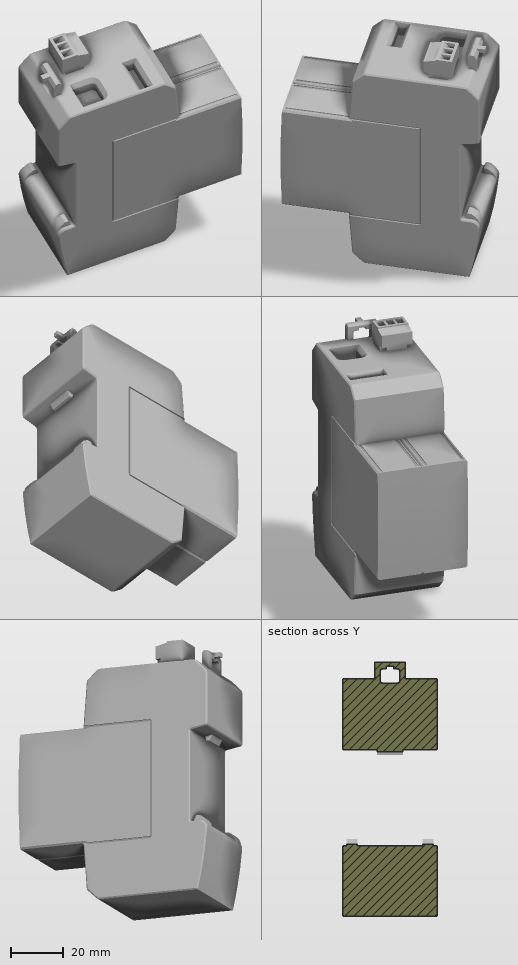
import cadquery as cq
import math


WIDTH = 36.0
HOUSING_HEIGHT = 90.0
MID_Z = HOUSING_HEIGHT / 2
REAR_Y = 50.6
EDGE_CHAMFER = 0.5

REAR_TOP_Y = 44.7
REAR_BEVEL_Y = 49.3
REAR_BEVEL_DROP = 4.3

FRONT_BEVEL = 4.8
BEVEL_FILLET = 2.0
RAIL_WALL_Y = 7.0
RAIL_TOP_Z = 62.7
UPPER_LIP_Z = 63.9
LIP_FILLET = 0.9
RAIL_FILLET = 0.6
RAIL_BOTTOM_Z = 26.9
LOWER_LIP_FILLET = 3.2
SKIRT_TOP_Y = -0.2
SKIRT_MID = (1.5, 12.1)
SKIRT_FOOT_Y = 3.9

MODULE_COUNT = 2
MODULE_WIDTH = WIDTH / MODULE_COUNT
MODULE_HEIGHT = 44.9
MODULE_FRONT_Y = 23.2
MODULE_REAR_Y = 77.0
MODULE_CROWN = 0.6
MODULE_CHAMFER = 0.7
MODULE_CHAMFER_START_Y = 49.3
STRIP_WIDTH = 1.2
STRIP_INSET = 1.1
STRIP_DEPTH = 0.4
STRIP_END_MARGIN = 1.0

GROOVE_WIDTH = 0.8
GROOVE_DEPTH = 0.6
GROOVE_CORNER = 1.0

CATCH_WIDTH = 10.0
CATCH_ROOT = (2.8, 6.1)
CATCH_TIP = (4.4, 5.5)
CATCH_TIP_Z = 61.1
PAD_WIDTH = 4.2
PAD_CENTER_X = 14.4
PAD_REAR_Y = 6.0
PAD_TOP_Z = 29.3
PAD_TOP = (3.5, 4.9)
PAD_NOSE_START = (2.3, 28.5)
PAD_NOSE_MID = (0.7, 26.8)
PAD_NOSE_END = (0.1, 24.2)
PAD_ROOT_Y = 3.0

CONNECTOR_LEFT_X = -14.6
CONNECTOR_WIDTH = 12.3
CONNECTOR_FRONT_Y = 11.3
CONNECTOR_REAR_Y = 22.4
CONNECTOR_TOP_Z = 98.9
CONNECTOR_BASE_Z = 91.0
CONNECTOR_REAR_Z = 97.4
CONNECTOR_SLOPE_TOP_Z = 98.4
CONNECTOR_SLOPE_START_Y = 17.7
CONNECTOR_SLOPE_END_Y = 21.7
CONNECTOR_STEM_FRONT_Y = 12.9
CONNECTOR_STEM_REAR_Y = 20.4
HEEL_INSET = 2.2
HEEL_HEIGHT = 1.4
WIRE_COUNT = 3
WIRE_PITCH = 3.8
WIRE_WIDTH = 2.8
WIRE_FRONT_Y = 12.5
WIRE_LENGTH = 4.2
WIRE_DEPTH = 4.2

LATCH_WIDTH = 11.8
LATCH_FRONT_Y = 3.8
LATCH_REAR_Y = 7.0
LATCH_TOP_Z = 96.3
LATCH_REAR_CHAMFER = 0.8
LATCH_FRONT_CHAMFER_LENGTH = 0.9
LATCH_FRONT_CHAMFER_HEIGHT = 1.7
WINDOW_WIDTH = 7.3
WINDOW_BOTTOM_Z = 88.4
WINDOW_TOP_Z = 93.6
WINDOW_FILLET = 0.8
NOTCH_WIDTH = 2.8
NOTCH_TOP_Z = 94.5
PRONG_WIDTH = 2.2
PRONG_TIP_Y = 1.5

POCKET_BEVEL_DEPTH = 1.7
POCKET_DEPTH = 5.5

SLOT_CENTER_X = 8.9
SLOT_WIDTH = 15.2
SLOT_FRONT_Y = 34.2
SLOT_REAR_Y = 40.4
SLOT_WELL_WIDTH = 13.9
SLOT_WELL_FRONT_Y = 35.5
SLOT_WELL_REAR_Y = 39.0

ARCH_CENTER_X = 9.1
ARCH_WIDTH = 12.5
ARCH_FRONT_Y = 11.7
ARCH_REAR_Y = 23.0
ARCH_CORNER = 3.4
ARCH_BEVEL_INSET = 1.5


def box(x_min, x_max, y_min, y_max, z_min, z_max):
    """Box between the given limits."""
    size = (x_max - x_min, y_max - y_min, z_max - z_min)
    return cq.Workplane("XY").box(*size, centered=False).translate((x_min, y_min, z_min))


def extrude_across(profile, x_center, width):
    """Extrude a closed Y-Z profile by width along X, centred on x_center."""
    return profile.extrude(width).translate((x_center - width / 2, 0, 0))


def centered_box(width, y_min, y_max, z_min, z_max):
    """Box centred on the mid-plane X = 0."""
    return box(-width / 2, width / 2, y_min, y_max, z_min, z_max)


MODULE_BOTTOM_Z = MID_Z - MODULE_HEIGHT / 2
MODULE_TOP_Z = MID_Z + MODULE_HEIGHT / 2


def make_shell():
    """DIN-rail housing outline, extruded over the full width with bevelled flanks."""
    top = HOUSING_HEIGHT
    profile = (
        cq.Workplane("YZ")
        .moveTo(SKIRT_FOOT_Y, 0)
        .lineTo(REAR_TOP_Y, 0)
        .lineTo(REAR_BEVEL_Y, REAR_BEVEL_DROP)
        .lineTo(REAR_Y, MODULE_BOTTOM_Z)
        .lineTo(REAR_Y, MODULE_TOP_Z)
        .lineTo(REAR_BEVEL_Y, top - REAR_BEVEL_DROP)
        .lineTo(REAR_TOP_Y, top)
        .lineTo(FRONT_BEVEL, top)
        .lineTo(0, top - FRONT_BEVEL)
        .lineTo(0, UPPER_LIP_Z)
        .lineTo(RAIL_WALL_Y, RAIL_TOP_Z)
        .lineTo(RAIL_WALL_Y, RAIL_BOTTOM_Z)
        .lineTo(SKIRT_TOP_Y, RAIL_BOTTOM_Z)
        .threePointArc(SKIRT_MID, (SKIRT_FOOT_Y, 0))
        .close()
    )
    shell = extrude_across(profile, 0, WIDTH)

    def corner(y, z):
        return cq.selectors.NearestToPointSelector((0, y, z))

    for y, z in [(REAR_TOP_Y, 0), (REAR_TOP_Y, top), (FRONT_BEVEL, top), (0, top - FRONT_BEVEL)]:
        shell = shell.edges("|X").edges(corner(y, z)).fillet(BEVEL_FILLET)
    shell = shell.edges("|X").edges(corner(0, UPPER_LIP_Z)).fillet(LIP_FILLET)
    shell = shell.edges("|X").edges(corner(SKIRT_TOP_Y, RAIL_BOTTOM_Z)).fillet(LOWER_LIP_FILLET)
    for z in (RAIL_BOTTOM_Z, RAIL_TOP_Z):
        shell = shell.edges("|X").edges(corner(RAIL_WALL_Y, z)).fillet(RAIL_FILLET)
    return shell.faces("<X or >X").edges().chamfer(EDGE_CHAMFER)


def make_module_bay():
    """Space the modules fill inside the housing, open at the rear and on both flanks."""
    return centered_box(WIDTH, MODULE_FRONT_Y, MODULE_REAR_Y, MODULE_BOTTOM_Z, MODULE_TOP_Z)


def make_flank_grooves():
    """Shallow rebates that frame the module bay on both flanks."""
    frame = centered_box(
        WIDTH,
        MODULE_FRONT_Y - GROOVE_WIDTH,
        MODULE_REAR_Y,
        MODULE_BOTTOM_Z - GROOVE_WIDTH,
        MODULE_TOP_Z + GROOVE_WIDTH,
    )
    frame = frame.edges("|X and <Y").fillet(GROOVE_CORNER)
    core_width = WIDTH - 2 * GROOVE_DEPTH
    core = centered_box(core_width, 0, MODULE_REAR_Y, 0, HOUSING_HEIGHT)
    return frame.cut(core)


def make_rail_catch():
    """Small wedge under the upper lip that hooks behind the rail."""
    profile = cq.Workplane("YZ").polyline([
        (CATCH_ROOT[1], UPPER_LIP_Z),
        (CATCH_TIP[1], CATCH_TIP_Z),
        (CATCH_TIP[0], CATCH_TIP_Z),
        (CATCH_ROOT[0], UPPER_LIP_Z),
    ]).close()
    return extrude_across(profile, 0, CATCH_WIDTH)


def make_rail_pad(x_center):
    """Rounded pad standing on the lower lip."""
    profile = (
        cq.Workplane("YZ")
        .moveTo(PAD_ROOT_Y, PAD_NOSE_END[1])
        .lineTo(PAD_REAR_Y, RAIL_BOTTOM_Z)
        .lineTo(PAD_TOP[1], PAD_TOP_Z)
        .lineTo(PAD_TOP[0], PAD_TOP_Z)
        .lineTo(*PAD_NOSE_START)
        .threePointArc(PAD_NOSE_MID, PAD_NOSE_END)
        .close()
    )
    return extrude_across(profile, x_center, PAD_WIDTH)


def make_connector():
    """Terminal block on a narrower stem, with ramped wire openings in its top."""
    center_x = CONNECTOR_LEFT_X + CONNECTOR_WIDTH / 2
    profile = cq.Workplane("YZ").polyline([
        (CONNECTOR_STEM_FRONT_Y, HOUSING_HEIGHT),
        (CONNECTOR_STEM_FRONT_Y, CONNECTOR_BASE_Z),
        (CONNECTOR_FRONT_Y, CONNECTOR_BASE_Z),
        (CONNECTOR_FRONT_Y, CONNECTOR_TOP_Z),
        (CONNECTOR_SLOPE_START_Y, CONNECTOR_TOP_Z),
        (CONNECTOR_SLOPE_START_Y, CONNECTOR_SLOPE_TOP_Z),
        (CONNECTOR_SLOPE_END_Y, CONNECTOR_REAR_Z),
        (CONNECTOR_REAR_Y, CONNECTOR_REAR_Z),
        (CONNECTOR_REAR_Y, CONNECTOR_BASE_Z),
        (CONNECTOR_STEM_REAR_Y, CONNECTOR_BASE_Z),
        (CONNECTOR_STEM_REAR_Y, HOUSING_HEIGHT),
    ]).close()
    connector = extrude_across(profile, center_x, CONNECTOR_WIDTH)
    heel_shift = (CONNECTOR_WIDTH - HEEL_INSET) / 2
    for side in (-1, 1):
        heel_cut = centered_box(
            HEEL_INSET,
            CONNECTOR_STEM_REAR_Y,
            CONNECTOR_REAR_Y,
            CONNECTOR_BASE_Z,
            CONNECTOR_BASE_Z + HEEL_HEIGHT,
        )
        connector = connector.cut(heel_cut.translate((center_x + side * heel_shift, 0, 0)))
    for index in range(WIRE_COUNT):
        wire_x = center_x + (index - (WIRE_COUNT - 1) / 2) * WIRE_PITCH
        wedge = cq.Workplane("YZ").polyline([
            (WIRE_FRONT_Y, CONNECTOR_TOP_Z),
            (WIRE_FRONT_Y + WIRE_LENGTH, CONNECTOR_TOP_Z),
            (WIRE_FRONT_Y, CONNECTOR_TOP_Z - WIRE_DEPTH),
        ]).close()
        connector = connector.cut(extrude_across(wedge, wire_x, WIRE_WIDTH))
    return connector


def make_latch():
    """Latch loop with a stepped window and a forward prong."""
    loop_profile = cq.Workplane("YZ").polyline([
        (LATCH_FRONT_Y, WINDOW_BOTTOM_Z),
        (LATCH_FRONT_Y, LATCH_TOP_Z - LATCH_FRONT_CHAMFER_HEIGHT),
        (LATCH_FRONT_Y + LATCH_FRONT_CHAMFER_LENGTH, LATCH_TOP_Z),
        (LATCH_REAR_Y, LATCH_TOP_Z),
        (LATCH_REAR_Y, WINDOW_BOTTOM_Z),
    ]).close()
    loop = extrude_across(loop_profile, 0, LATCH_WIDTH)
    loop = loop.edges(">Z and >Y").chamfer(LATCH_REAR_CHAMFER)
    notch = centered_box(NOTCH_WIDTH, 0, LATCH_REAR_Y, HOUSING_HEIGHT, NOTCH_TOP_Z)
    prong_root_y = LATCH_REAR_Y - LATCH_REAR_CHAMFER
    prong = centered_box(PRONG_WIDTH, PRONG_TIP_Y, prong_root_y, NOTCH_TOP_Z, LATCH_TOP_Z)
    return loop.cut(notch).union(prong)


def make_latch_window():
    """Opening through the latch loop that also relieves the housing edge below it."""
    window = centered_box(WINDOW_WIDTH, 0, LATCH_REAR_Y, WINDOW_BOTTOM_Z, WINDOW_TOP_Z)
    return window.edges("|Y").fillet(WINDOW_FILLET)


def make_slot_pocket():
    """Rectangular pocket with a bevelled mouth above upright walls."""
    mouth_length = SLOT_REAR_Y - SLOT_FRONT_Y
    well_length = SLOT_WELL_REAR_Y - SLOT_WELL_FRONT_Y
    mouth_center_y = (SLOT_REAR_Y + SLOT_FRONT_Y) / 2
    well_center_y = (SLOT_WELL_REAR_Y + SLOT_WELL_FRONT_Y) / 2
    return (
        cq.Workplane("XY", origin=(SLOT_CENTER_X, mouth_center_y, HOUSING_HEIGHT))
        .rect(SLOT_WIDTH, mouth_length)
        .workplane(offset=-POCKET_BEVEL_DEPTH)
        .center(0, well_center_y - mouth_center_y)
        .rect(SLOT_WELL_WIDTH, well_length)
        .loft(ruled=True)
        .faces("<Z")
        .wires()
        .toPending()
        .workplane()
        .extrude(POCKET_DEPTH - POCKET_BEVEL_DEPTH)
    )


def make_arch_pocket():
    """Pocket with two rounded rear corners, bevelled on the sides and rear, and an upright front wall."""
    half_length = ARCH_REAR_Y - ARCH_FRONT_Y
    bevel_angle = math.degrees(math.atan2(ARCH_BEVEL_INSET, POCKET_BEVEL_DEPTH))
    mouth = cq.Sketch().rect(ARCH_WIDTH, 2 * half_length).vertices().fillet(ARCH_CORNER)
    well = (
        cq.Sketch()
        .rect(ARCH_WIDTH - 2 * ARCH_BEVEL_INSET, 2 * (half_length - ARCH_BEVEL_INSET))
        .vertices()
        .fillet(ARCH_CORNER - ARCH_BEVEL_INSET)
    )
    base = cq.Workplane("XY", origin=(ARCH_CENTER_X, ARCH_FRONT_Y, HOUSING_HEIGHT))
    bevel = base.placeSketch(mouth).extrude(-POCKET_BEVEL_DEPTH, taper=bevel_angle)
    blank = bevel.union(base.placeSketch(well).extrude(-POCKET_DEPTH))
    rear_half = box(0, WIDTH, ARCH_FRONT_Y, ARCH_REAR_Y, 0, HOUSING_HEIGHT)
    return blank.intersect(rear_half)


def make_housing():
    housing = make_shell().cut(make_module_bay()).cut(make_flank_grooves())
    housing = housing.cut(make_slot_pocket()).cut(make_arch_pocket())
    housing = housing.union(make_rail_catch())
    for side in (-1, 1):
        housing = housing.union(make_rail_pad(side * PAD_CENTER_X))
    return housing.union(make_connector()).union(make_latch()).cut(make_latch_window())


def make_module(x_center):
    """Plug module with a crowned rear face, chamfered rear part and two top channels."""
    rear_edge_y = MODULE_REAR_Y - MODULE_CROWN
    inner = extrude_across(
        cq.Workplane("YZ")
        .moveTo(MODULE_FRONT_Y, MODULE_BOTTOM_Z)
        .lineTo(MODULE_CHAMFER_START_Y, MODULE_BOTTOM_Z)
        .lineTo(MODULE_CHAMFER_START_Y, MODULE_TOP_Z)
        .lineTo(MODULE_FRONT_Y, MODULE_TOP_Z)
        .close(),
        x_center,
        MODULE_WIDTH,
    )
    outer = extrude_across(
        cq.Workplane("YZ")
        .moveTo(MODULE_CHAMFER_START_Y, MODULE_BOTTOM_Z)
        .lineTo(rear_edge_y, MODULE_BOTTOM_Z)
        .threePointArc((MODULE_REAR_Y, MID_Z), (rear_edge_y, MODULE_TOP_Z))
        .lineTo(MODULE_CHAMFER_START_Y, MODULE_TOP_Z)
        .close(),
        x_center,
        MODULE_WIDTH,
    )
    outer = outer.edges("|Y").chamfer(MODULE_CHAMFER)
    module = inner.union(outer)
    for side in (-1, 1):
        strip_x = x_center + side * (MODULE_WIDTH / 2 - STRIP_INSET - STRIP_WIDTH / 2)
        strip = box(
            strip_x - STRIP_WIDTH / 2,
            strip_x + STRIP_WIDTH / 2,
            REAR_Y,
            rear_edge_y - STRIP_END_MARGIN,
            MODULE_TOP_Z - STRIP_DEPTH,
            MODULE_TOP_Z,
        )
        module = module.cut(strip)
    return module


housing = make_housing()
modules = []
for index in range(MODULE_COUNT):
    module_x = (index - (MODULE_COUNT - 1) / 2) * MODULE_WIDTH
    modules.append(make_module(module_x).val())

result = cq.Compound.makeCompound([housing.val(), *modules])